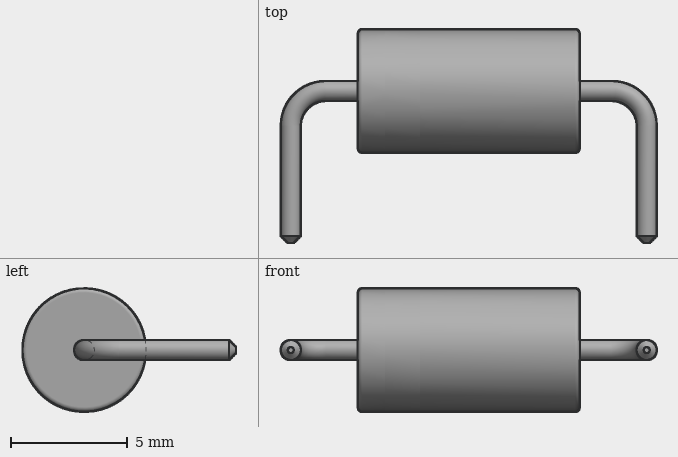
import cadquery as cq
import math

housing_length = 9.5
housing_diameter = 5.3
housing_edge_round = 0.2

band_width = 1.5
band_end_distance = 1.18

span = 16.1
wire_diameter = 0.87
bend_radius = 1.5
lead_drop = 6.5
tip_length = 0.3

housing_end_x = housing_length / 2
wire_radius = wire_diameter / 2
leg_x = span / 2 - wire_radius
bend_start_x = leg_x - bend_radius


def housing_section(start_x, end_x):
    """Stretch of the housing cylinder between two X positions."""
    section = cq.Workplane("YZ", origin=(start_x, 0, 0))
    return section.circle(housing_diameter / 2).extrude(end_x - start_x)


def make_housing():
    """One solid whose surface keeps the two edges that bound the marking band."""
    band_start_x = -housing_end_x + band_end_distance
    band_end_x = band_start_x + band_width
    near_end = housing_section(-housing_end_x, band_start_x).faces("<X").edges().fillet(housing_edge_round)
    band = housing_section(band_start_x, band_end_x)
    far_end = housing_section(band_end_x, housing_end_x).faces(">X").edges().fillet(housing_edge_round)
    return near_end.union(band, clean=False).union(far_end, clean=False)


def make_lead(side):
    """Bent wire with a tapered tip; side is +1 for the +X end, -1 for the -X end."""
    bend_offset = bend_radius * math.sqrt(0.5)
    bend_middle = (side * (bend_start_x + bend_offset), bend_offset - bend_radius)
    path = (
        cq.Workplane("XY")
        .moveTo(side * housing_end_x, 0)
        .lineTo(side * bend_start_x, 0)
        .threePointArc(bend_middle, (side * leg_x, -bend_radius))
        .lineTo(side * leg_x, -lead_drop)
    )
    profile = cq.Workplane("YZ", origin=(side * housing_end_x, 0, 0)).circle(wire_radius)
    return profile.sweep(path).faces("<Y").chamfer(tip_length)


housing = make_housing()
leads = [make_lead(side) for side in (-1, 1)]

result = cq.Compound.makeCompound([housing.solids().val(), *[lead.val() for lead in leads]])